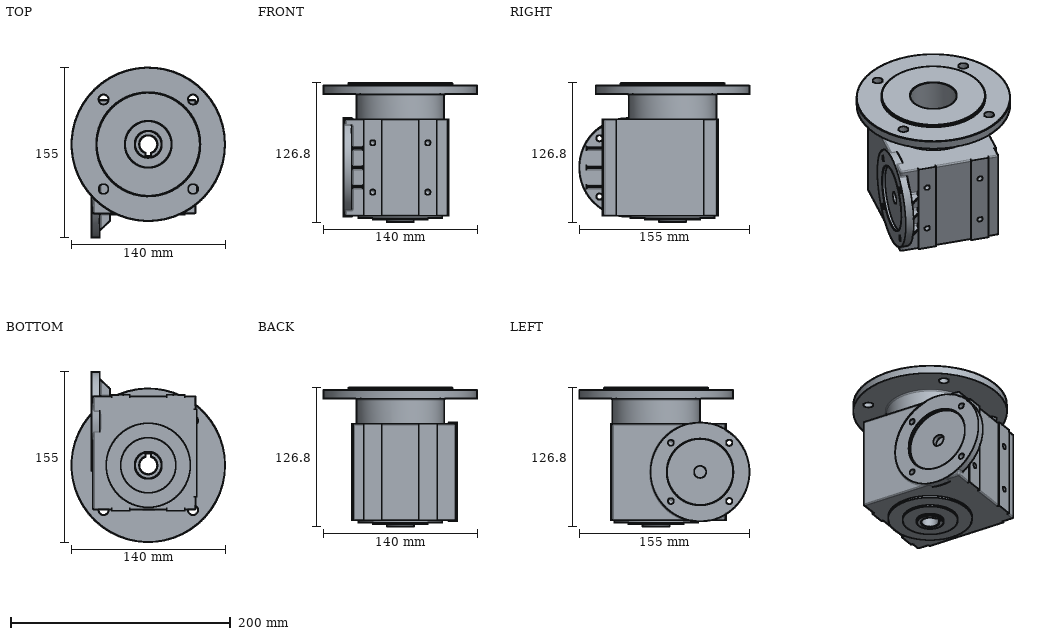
import cadquery as cq
import math


HOUSING_LEFT = -50.4
HOUSING_RIGHT = 43.1
HOUSING_FRONT = -63.0
HOUSING_BACK = 40.3
HOUSING_HEIGHT = 88.0
HOUSING_TOP = HOUSING_HEIGHT / 2
EDGE_RADIUS = 1.2

PAD_RISE = 1.1
PAD_INNER_X = 16.7
PAD_OUTER_X = 33.3
SIDE_PAD_FRONT = -51.2
SIDE_PAD_BACK = HOUSING_FRONT + HOUSING_BACK - SIDE_PAD_FRONT
PAD_HOLE_DIAMETER = 5.0
PAD_HOLE_DEPTH = 10.0
PAD_HOLE_X = (PAD_INNER_X + PAD_OUTER_X) / 2
PAD_HOLE_Z = 22.5

NECK_DIAMETER = 80.0
NECK_FILLET = 1.1
FLANGE_DIAMETER = 140.0
FLANGE_BOTTOM = 66.6
FLANGE_THICKNESS = 8.0
FLANGE_TOP = FLANGE_BOTTOM + FLANGE_THICKNESS
FLANGE_CHAMFER = 0.5
SPIGOT_DIAMETER = 95.0
SPIGOT_HEIGHT = 2.3
SPIGOT_TOP = FLANGE_TOP + SPIGOT_HEIGHT
SPIGOT_CHAMFER = 0.8
FLANGE_HOLE_DIAMETER = 9.0
FLANGE_BOLT_CIRCLE = 115.0
FLANGE_BOLT_COUNT = 4
FLANGE_BOLT_ANGLE = 45
CAVITY_DIAMETER = 42.0
CAVITY_CHAMFER = 0.5

SHAFT_END = 49.9
SHAFT_DIAMETER = 25.0
SHAFT_CHAMFER = 0.6
BORE_DIAMETER = 16.0
BORE_CHAMFER = 0.5
KEYWAY_WIDTH = 5.0
KEYWAY_REACH = 10.4
COVER_STEPS = [(76.5, 46.0), (50.2, 47.7)]

INPUT_Y = -40.0
INPUT_DIAMETER = 90.0
INPUT_FACE = -51.8
INPUT_THICKNESS = 7.8
INPUT_BACK = INPUT_FACE + INPUT_THICKNESS
INPUT_FILLET = 1.1
RIM_RADIUS = 0.6
RECESS_DIAMETER = 60.0
RECESS_DEPTH = 3.0
RECESS_CHAMFER = 0.5
INPUT_HOLE_DIAMETER = 5.5
INPUT_HOLE_DEPTH = 12.4
INPUT_BOLT_CIRCLE = 75.0
INPUT_SHAFT_DIAMETER = 11.0
INPUT_SHAFT_DEPTH = 5.0

RIB_THICKNESS = 1.4
RIB_FILLET = 1.2
RIB_PITCH = 17.5
RIB_END_X = -34.5
RIB_END_REACH = 6.5
RIB_ROOT_REACH = 15.5

MARGIN = 0.2
DRILL_POINT_HALF_ANGLE = math.radians(59)


def box(x_min, x_max, y_min, y_max, z_min, z_max):
    """Axis-aligned block given by its limits."""
    size = (x_max - x_min, y_max - y_min, z_max - z_min)
    return cq.Workplane("XY").box(*size, centered=False).translate((x_min, y_min, z_min))


def vertical_cylinder(diameter, z_min, z_max):
    """Cylinder on the output axis."""
    return cq.Workplane("XY").workplane(offset=z_min).circle(diameter / 2).extrude(z_max - z_min)


def input_cylinder(diameter, x_min, x_max):
    """Cylinder on the input axis."""
    start = cq.Workplane("YZ", origin=(x_min, INPUT_Y, 0))
    return start.circle(diameter / 2).extrude(x_max - x_min)


def drilled_hole(point, direction, diameter, depth):
    """Blind hole with a conical drill point, as a solid to cut away."""
    start = cq.Vector(*point)
    axis = cq.Vector(*direction)
    radius = diameter / 2
    tip = radius / math.tan(DRILL_POINT_HALF_ANGLE)
    shank = cq.Solid.makeCylinder(radius, depth, start, axis)
    cone = cq.Solid.makeCone(radius, 0, tip, start + axis * depth, axis)
    return cq.Workplane(shank.fuse(cone))


def mouth_chamfer(point, direction, diameter, size):
    """Cone widening the mouth of a round hole by the given chamfer size, as a solid to cut away."""
    radius = diameter / 2
    cone = cq.Solid.makeCone(radius + size, radius, size, cq.Vector(*point), cq.Vector(*direction))
    return cq.Workplane(cone)


def make_housing():
    block = box(HOUSING_LEFT, HOUSING_RIGHT, HOUSING_FRONT, HOUSING_BACK, -HOUSING_TOP, HOUSING_TOP)
    return block.edges().fillet(EDGE_RADIUS)


def make_pads():
    """Two full-height pad strips running through front to back, and one on the +X wall."""
    x_face = HOUSING_RIGHT + PAD_RISE
    pads = box(0, x_face, SIDE_PAD_FRONT, SIDE_PAD_BACK, -HOUSING_TOP, HOUSING_TOP)
    for x_min in (-PAD_OUTER_X, PAD_INNER_X):
        x_max = x_min + PAD_OUTER_X - PAD_INNER_X
        y_min = HOUSING_FRONT - PAD_RISE
        y_max = HOUSING_BACK + PAD_RISE
        pads = pads.union(box(x_min, x_max, y_min, y_max, -HOUSING_TOP, HOUSING_TOP))
    return pads


def make_housing_with_input_flange():
    """Housing joined with the input flange, its three ribs and their root fillets."""
    disc = input_cylinder(INPUT_DIAMETER, INPUT_FACE, INPUT_BACK)
    rounded_disc = disc.faces(">X").edges().fillet(RIM_RADIUS)
    body = make_housing().union(rounded_disc)
    rim_foot = cq.selectors.BoxSelector(
        (HOUSING_LEFT - MARGIN, INPUT_Y - INPUT_DIAMETER, -HOUSING_TOP),
        (HOUSING_LEFT + MARGIN, INPUT_Y + INPUT_DIAMETER, HOUSING_TOP),
    )
    body = body.edges("%CIRCLE").edges(rim_foot).fillet(INPUT_FILLET)
    profile = [
        (INPUT_BACK, HOUSING_FRONT),
        (RIB_END_X, HOUSING_FRONT),
        (RIB_END_X, HOUSING_FRONT - RIB_END_REACH),
        (INPUT_BACK, HOUSING_FRONT - RIB_ROOT_REACH),
    ]
    rib = cq.Workplane("XY").polyline(profile).close().extrude(RIB_THICKNESS / 2, both=True)
    for step in (-1, 0, 1):
        body = body.union(rib.translate((0, 0, step * RIB_PITCH)))
    wall_roots = cq.selectors.BoxSelector(
        (INPUT_BACK - MARGIN, HOUSING_FRONT - MARGIN, -HOUSING_TOP),
        (RIB_END_X + MARGIN, HOUSING_FRONT + MARGIN, HOUSING_TOP),
    )
    flange_roots = cq.selectors.BoxSelector(
        (INPUT_BACK - MARGIN, HOUSING_FRONT - RIB_ROOT_REACH + MARGIN, -HOUSING_TOP),
        (INPUT_BACK + MARGIN, HOUSING_FRONT, HOUSING_TOP),
    )
    rib_roots = flange_roots & cq.selectors.ParallelDirSelector(cq.Vector(0, 1, 0))
    body = body.edges(wall_roots + rib_roots).fillet(RIB_FILLET)
    beside_housing = box(INPUT_FACE, INPUT_BACK, HOUSING_FRONT, 0, -INPUT_DIAMETER, INPUT_DIAMETER)
    return body.union(disc.intersect(beside_housing))


def make_output_flange():
    flange = vertical_cylinder(FLANGE_DIAMETER, FLANGE_BOTTOM, FLANGE_TOP)
    flange = flange.faces(">Z").edges().chamfer(FLANGE_CHAMFER)
    spigot = vertical_cylinder(SPIGOT_DIAMETER, FLANGE_TOP, SPIGOT_TOP)
    spigot = spigot.faces(">Z").edges().chamfer(SPIGOT_CHAMFER)
    neck = vertical_cylinder(NECK_DIAMETER, 0, FLANGE_BOTTOM)
    neck_root = cq.selectors.BoxSelector(
        (-NECK_DIAMETER, -NECK_DIAMETER, FLANGE_BOTTOM - MARGIN),
        (NECK_DIAMETER, NECK_DIAMETER, FLANGE_BOTTOM + MARGIN),
    )
    joined = flange.union(neck)
    joined = joined.edges(neck_root).edges(cq.selectors.RadiusNthSelector(0)).fillet(NECK_FILLET)
    joined = joined.union(spigot)
    bolts = cq.Workplane("XY").workplane(offset=FLANGE_BOTTOM)
    bolts = bolts.polarArray(FLANGE_BOLT_CIRCLE / 2, FLANGE_BOLT_ANGLE, 360, FLANGE_BOLT_COUNT)
    bolts = bolts.circle(FLANGE_HOLE_DIAMETER / 2).extrude(FLANGE_THICKNESS)
    return joined.cut(bolts)


def make_cover():
    upper, lower = (vertical_cylinder(diameter, -depth, 0) for diameter, depth in COVER_STEPS)
    return upper.union(lower)


def make_shaft():
    shaft = vertical_cylinder(SHAFT_DIAMETER, -SHAFT_END, SHAFT_END)
    return shaft.faces("<Z or >Z").edges().chamfer(SHAFT_CHAMFER)


def make_bore():
    bore = vertical_cylinder(BORE_DIAMETER, -SHAFT_END, SHAFT_END)
    half_key = KEYWAY_WIDTH / 2
    bore = bore.union(box(-half_key, half_key, -KEYWAY_REACH, 0, -SHAFT_END, SHAFT_END))
    flare = mouth_chamfer((0, 0, SHAFT_END), (0, 0, -1), BORE_DIAMETER, BORE_CHAMFER)
    return bore.union(flare).union(flare.mirror("XY"))


def cut_front_holes(body):
    for x in (-PAD_HOLE_X, PAD_HOLE_X):
        for z in (-PAD_HOLE_Z, PAD_HOLE_Z):
            point = (x, HOUSING_FRONT - PAD_RISE, z)
            body = body.cut(drilled_hole(point, (0, 1, 0), PAD_HOLE_DIAMETER, PAD_HOLE_DEPTH))
    return body


def cut_input_holes(body):
    body = body.cut(input_cylinder(RECESS_DIAMETER, INPUT_FACE, INPUT_FACE + RECESS_DEPTH))
    body = body.cut(mouth_chamfer((INPUT_FACE, INPUT_Y, 0), (1, 0, 0), RECESS_DIAMETER, RECESS_CHAMFER))
    pocket_end = INPUT_FACE + RECESS_DEPTH + INPUT_SHAFT_DEPTH
    body = body.cut(input_cylinder(INPUT_SHAFT_DIAMETER, INPUT_FACE, pocket_end))
    offset = INPUT_BOLT_CIRCLE / 2 * math.sqrt(0.5)
    for y in (INPUT_Y - offset, INPUT_Y + offset):
        for z in (-offset, offset):
            point = (INPUT_FACE, y, z)
            body = body.cut(drilled_hole(point, (1, 0, 0), INPUT_HOLE_DIAMETER, INPUT_HOLE_DEPTH))
    return body


body = make_housing_with_input_flange().union(make_pads())
body = body.union(make_output_flange()).union(make_cover())
body = body.cut(vertical_cylinder(CAVITY_DIAMETER, HOUSING_TOP, SPIGOT_TOP))
body = body.cut(mouth_chamfer((0, 0, SPIGOT_TOP), (0, 0, -1), CAVITY_DIAMETER, CAVITY_CHAMFER))
body = body.union(make_shaft()).cut(make_bore())
body = cut_front_holes(body)
result = cut_input_holes(body)